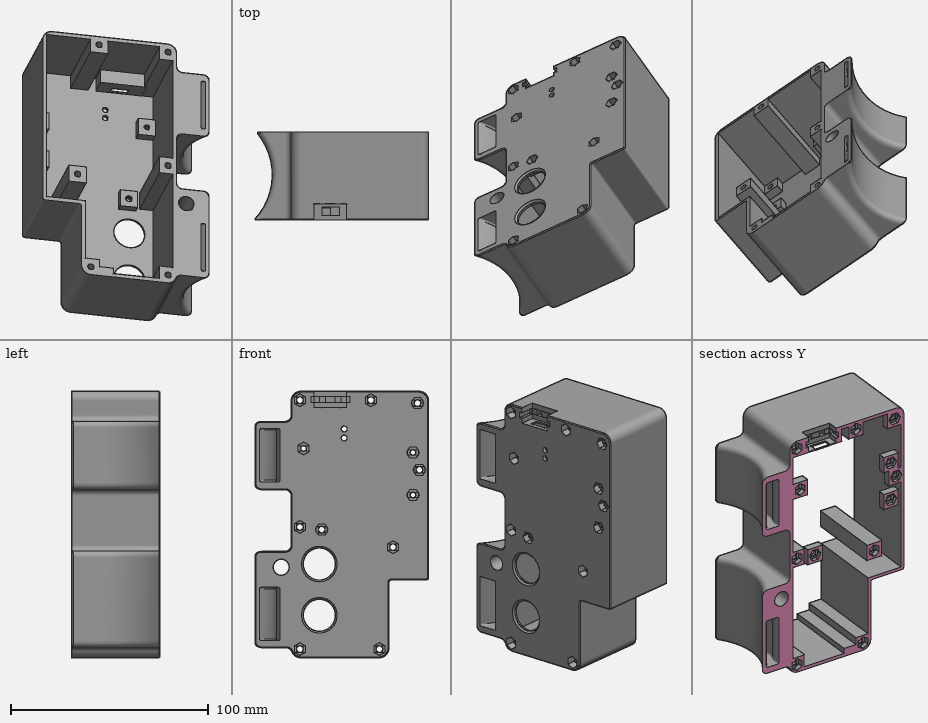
import cadquery as cq
import math

width = 88.0
depth = 44.7
height = 135.0
wall = 2.0
front_chamfer = 0.5
coincidence = 1.35e-06
cut_margin = 1.4

body_left = 18.4
leg_right = 67.9
leg_top = 39.4
body_radius = 5.0
grip_radius = 3.0
step_radius = 1.4
grip_spans = [(5.1, 54.0), (85.0, 119.7)]

cylinder_radius = 33.0
cylinder_x = 8.8 - cylinder_radius
cylinder_y = 23.0
grip_back_left = 1.5
slot_wall = 2.2
slot_gap = 1.8
slot_inner_radius = cylinder_radius + slot_wall
slot_outer_radius = slot_inner_radius + slot_gap
slot_height = 27.0
slot_bottoms = [8.8, 89.1]
slot_fillet = 0.8
lip_start = 2.2
lip_length = 5.1
lip_inset = 1.01
lip_bulge = 0.61

window_diameter = 16.0
window_chamfer = 1.0
window_x = 32.7
window_heights = [21.6, 47.5]
led_diameter = 2.8
led_x = 45.2
led_heights = [111.2, 115.8]
cord_hole_diameter = 8.0
cord_hole_center = (13.4, 45.9)

screw_diameter = 3.2
small_screw_diameter = 2.7
nut_diameter = 6.5
boss_size = 9.0
bridge_step = 0.3
case_nut_depth = 5.0
board_nut_depth = 4.0
board_boss_length = 6.2
case_screws = [(22.8, 4.5), (63.0, 4.5), (69.9, 56.0), (22.8, 66.3), (22.8, 130.4), (58.7, 130.4)]
board_screws = [(33.9, 65.0), (83.3, 95.2), (82.4, 128.9)]
upright_small_screws = [(24.7, 106.0)]
small_screws = [(80.0, 82.5), (80.0, 104.0)]

socket_left = 30.0
socket_right = 46.5
socket_floor = 126.6
socket_depth = 8.2
socket_floor_thickness = 0.8
groove_reach = 1.6
groove_bottom = 129.2
groove_top = 132.2
groove_depth = 7.8
back_band_depth = 0.3
pin_pocket_width = 3.1
pin_pocket_depth = 2.0
pin_pocket_lefts = [32.8, 40.6]
opening_left = 34.0
opening_right = 42.9
opening_front = 2.4
opening_back = 6.6

ledge_left = 51.3
ledge_height = 3.0


def box(x0, x1, y0, y1, z0, z1):
    return cq.Workplane("XY").box(x1 - x0, y1 - y0, z1 - z0, centered=False).translate((x0, y0, z0))


def front_plane(y=0.0):
    """Sketch plane at depth y with X right and Z up; extruding by a negative length goes to +Y."""
    return cq.Workplane("XZ", origin=(0, y, 0))


def cylinder(center, diameter, y0, y1):
    return front_plane(y0).center(*center).circle(diameter / 2).extrude(y0 - y1)


def rounded_outline(corners, y0, y1):
    """Prism over a polygon given as (x, z, corner radius)."""
    points = []
    for i, (x, z, radius) in enumerate(corners):
        before = corners[i - 1]
        after = corners[(i + 1) % len(corners)]
        corner = cq.Vector(x, z)
        to_before = (cq.Vector(before[0], before[1]) - corner).normalized()
        to_after = (cq.Vector(after[0], after[1]) - corner).normalized()
        half_angle = to_before.getAngle(to_after) / 2
        tangent = radius / math.tan(half_angle)
        bisector = (to_before + to_after).normalized()
        middle = corner + bisector * (radius / math.sin(half_angle) - radius)
        points.append((corner + to_before * tangent, middle, corner + to_after * tangent))

    sketch = front_plane(y0).moveTo(points[0][2].x, points[0][2].y)
    last = points[0][2]
    for start, middle, end in points[1:] + points[:1]:
        if (start - last).Length > coincidence:
            sketch = sketch.lineTo(start.x, start.y)
        sketch = sketch.threePointArc((middle.x, middle.y), (end.x, end.y))
        last = end
    return sketch.close().extrude(y0 - y1)


def case_outline(left, y0, y1):
    (low_bottom, low_top), (high_bottom, high_top) = grip_spans
    rise = body_radius - (low_bottom - grip_radius)
    run = math.sqrt((body_radius + grip_radius) ** 2 - rise ** 2)
    share = body_radius / (body_radius + grip_radius)
    tangent_x = body_left + body_radius - run * share
    tangent_z = body_radius - rise * share
    slant = rise / run
    corners = [
        (leg_right, 0, body_radius),
        (leg_right, leg_top, step_radius),
        (width, leg_top, step_radius),
        (width, height, body_radius),
        (body_left, height, body_radius),
        (body_left, high_top, grip_radius),
        (left, high_top, grip_radius),
        (left, high_bottom, grip_radius),
        (body_left, high_bottom, grip_radius),
        (body_left, low_top, grip_radius),
        (left, low_top, grip_radius),
        (left, low_bottom, grip_radius),
        (tangent_x - (low_bottom - tangent_z) * slant, low_bottom, grip_radius),
        (tangent_x + tangent_z * slant, 0, body_radius),
    ]
    return rounded_outline(corners, y0, y1)


def grip_cutter(bottom, top):
    """Turned cutter whose flared ends leave rounded edges on the grip."""
    flare = grip_radius * (1 - math.sqrt(0.5))
    flared_radius = cylinder_radius + grip_radius
    return (
        cq.Workplane("XZ")
        .moveTo(0, bottom)
        .lineTo(flared_radius, bottom)
        .threePointArc((cylinder_radius + flare, bottom + flare), (cylinder_radius, bottom + grip_radius))
        .lineTo(cylinder_radius, top - grip_radius)
        .threePointArc((cylinder_radius + flare, top - flare), (flared_radius, top))
        .lineTo(0, top)
        .close()
        .revolve(360, (0, 0, 0), (0, 1, 0))
        .translate((cylinder_x, cylinder_y, 0))
    )


def strap_slot(bottom):
    """Slot that follows the grip at the back and opens past a rounded lip into a wide front mouth."""
    def inner_x(y):
        return cylinder_x + math.sqrt(slot_inner_radius ** 2 - (y - cylinder_y) ** 2)

    def outer_x(y):
        return cylinder_x + math.sqrt(slot_outer_radius ** 2 - (y - cylinder_y) ** 2)

    mouth_right = outer_x(cylinder_y)
    lip_x = mouth_right - lip_inset
    lip_end = lip_start + lip_length
    back = depth + cut_margin
    bend = (cylinder_y + back) / 2
    return (
        cq.Workplane("XY", origin=(0, 0, bottom))
        .moveTo(inner_x(0), 0)
        .threePointArc((inner_x(cylinder_y), cylinder_y), (inner_x(back), back))
        .lineTo(outer_x(back), back)
        .threePointArc((outer_x(bend), bend), (mouth_right, cylinder_y))
        .lineTo(mouth_right, lip_end + lip_start)
        .lineTo(lip_x, lip_end)
        .threePointArc((lip_x - lip_bulge, lip_start + lip_length / 2), (lip_x, lip_start))
        .lineTo(mouth_right, 0)
        .close()
        .extrude(slot_height)
        .faces("<Z or >Z")
        .edges("not(<Y or >Y)")
        .fillet(slot_fillet)
    )


def boss(center, length):
    return front_plane().center(*center).rect(boss_size, boss_size).extrude(-length)


def nut_hole(center, diameter, nut_depth, upright):
    """Hexagonal pocket that steps through a cross slot and a square into a round hole."""
    flats = nut_diameter * math.cos(math.pi / 6)
    square_start = nut_depth + bridge_step
    hole_start = square_start + bridge_step
    pocket = (
        front_plane()
        .center(*center)
        .transformed(rotate=(0, 0, 90 if upright else 0))
        .polygon(6, nut_diameter)
        .extrude(-nut_depth)
    )
    cross_slot = front_plane(nut_depth).center(*center).rect(flats, diameter).extrude(-bridge_step)
    square = front_plane(square_start).center(*center).rect(diameter, diameter).extrude(-bridge_step)
    hole = cylinder(center, diameter, hole_start, depth)
    return pocket.union(cross_slot).union(square).union(hole)


def window(z):
    cone = (
        front_plane()
        .center(window_x, z)
        .circle(window_diameter / 2 + window_chamfer)
        .workplane(offset=-window_chamfer)
        .circle(window_diameter / 2)
        .loft()
    )
    return cone.union(cylinder((window_x, z), window_diameter, 0, wall))


def cavity():
    inner_left = body_left + wall
    body_space = box(inner_left, width - wall, wall, depth, leg_top + wall, height - wall)
    leg_space = box(inner_left, leg_right - wall, wall, depth, wall, height - wall)
    ledge = box(ledge_left, leg_right, 0, depth, 0, wall + ledge_height)
    return body_space.union(leg_space).cut(ledge)


def socket_housing():
    side = groove_reach + wall
    back = socket_depth + pin_pocket_depth + wall
    underside = socket_floor - socket_floor_thickness
    return box(socket_left - side, socket_right + side, wall, back, underside, height - wall)


def socket_recess():
    recess = box(socket_left, socket_right, 0, socket_depth, socket_floor, height)
    groove = box(
        socket_left - groove_reach, socket_right + groove_reach,
        0, groove_depth, groove_bottom, groove_top,
    )
    back_band = box(
        socket_left, socket_right, 0, socket_depth + back_band_depth, groove_bottom, groove_top,
    )
    opening = box(
        opening_left, opening_right, opening_front, opening_back,
        socket_floor - socket_floor_thickness, socket_floor,
    )
    recess = recess.union(groove).union(back_band).union(opening)
    for left in pin_pocket_lefts:
        pocket = box(
            left, left + pin_pocket_width,
            socket_depth, socket_depth + pin_pocket_depth, groove_bottom, groove_top,
        )
        recess = recess.union(pocket)
    return recess


front_half = case_outline(0, 0, cylinder_y).faces("<Y").chamfer(front_chamfer)
outer = front_half.union(case_outline(grip_back_left, cylinder_y, depth))
result = outer.cut(cavity()).union(socket_housing())

screw_groups = [
    (case_screws, screw_diameter, case_nut_depth, True, depth),
    (board_screws, screw_diameter, board_nut_depth, False, board_boss_length),
    (upright_small_screws, small_screw_diameter, case_nut_depth, True, case_nut_depth + wall),
    (small_screws, small_screw_diameter, board_nut_depth, False, board_boss_length),
]
for centers, _, _, _, boss_length in screw_groups:
    for center in centers:
        result = result.union(boss(center, boss_length).intersect(outer))
for centers, diameter, nut_depth, upright, _ in screw_groups:
    for center in centers:
        result = result.cut(nut_hole(center, diameter, nut_depth, upright))

for bottom, top in grip_spans:
    result = result.cut(grip_cutter(bottom, top))
for bottom in slot_bottoms:
    result = result.cut(strap_slot(bottom))

for z in window_heights:
    result = result.cut(window(z))
for z in led_heights:
    result = result.cut(cylinder((led_x, z), led_diameter, 0, wall))
result = result.cut(cylinder(cord_hole_center, cord_hole_diameter, 0, depth))

result = result.cut(socket_recess())